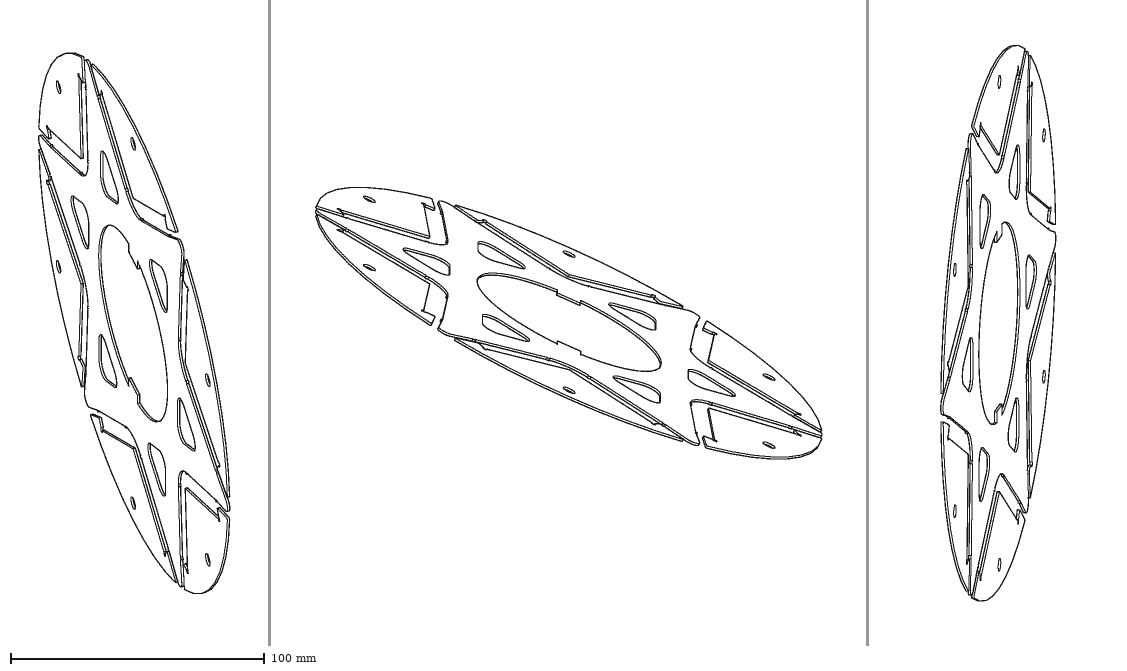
import cadquery as cq
import math

outer_radius = 110.0
thickness = 1.0
point_count = 6
point_pitch = 360.0 / point_count
half_pitch = point_pitch / 2

flank_angle = 26.5
tip_angle = 23.4

valley_corner_radius = 60.0
valley_round = 16.3
shoulder_distance = 96.4
tip_round = 3.5
nib_radius = 0.7

bore_radius = 40.0
key_width = 10.1
key_tip_radius = 35.2

window_side = 11.9
window_round = 5.0
window_radius = 60.3
window_shift = 1.0

wedge_apex_radius = 70.0
wedge_flank_length = 44.0
tab_depth = 5.0
tab_round = 0.7
relief_diameter = 1.8
hole_diameter = 5.0
hole_distance = 100.3


def sine(degrees):
    return math.sin(math.radians(degrees))


def cosine(degrees):
    return math.cos(math.radians(degrees))


def rotated(point, degrees):
    """Turn an (x, z) point about the disc centre, from +X towards +Z."""
    x, z = point
    return (x * cosine(degrees) - z * sine(degrees), x * sine(degrees) + z * cosine(degrees))


def mirrored(point):
    """The matching (x, z) point on the other side of the X axis."""
    return (point[0], -point[1])


def plate(sketch):
    """Thicken a sketch evenly to both sides of the XZ plane."""
    return sketch.extrude(thickness / 2, both=True)


valley_half_angle = half_pitch + flank_angle
valley_reach = valley_round / math.tan(math.radians(valley_half_angle))
valley_corner = rotated((valley_corner_radius, 0), half_pitch)
valley_end = (
    valley_corner[0] + valley_reach * cosine(flank_angle),
    valley_corner[1] - valley_reach * sine(flank_angle),
)
valley_bottom_radius = valley_corner_radius + valley_round / sine(valley_half_angle) - valley_round
shoulder_drop = (shoulder_distance - valley_corner[0]) * math.tan(math.radians(flank_angle))
shoulder = (shoulder_distance, valley_corner[1] - shoulder_drop)
tip_end = (
    outer_radius - tip_round + tip_round * sine(tip_angle),
    tip_round * cosine(tip_angle),
)


def star_blank():
    outline = cq.Workplane("XZ").moveTo(*mirrored(valley_end))
    for i in range(point_count):
        turn = i * point_pitch
        outline = (
            outline
            .lineTo(*rotated(mirrored(shoulder), turn))
            .lineTo(*rotated(mirrored(tip_end), turn))
            .threePointArc(rotated((outer_radius, 0), turn), rotated(tip_end, turn))
            .lineTo(*rotated(shoulder, turn))
            .lineTo(*rotated(valley_end, turn))
            .threePointArc(
                rotated((valley_bottom_radius, 0), turn + half_pitch),
                rotated(mirrored(valley_end), turn + point_pitch),
            )
        )
    return plate(outline.close())


def flank_nibs():
    flank_ends = [shoulder, valley_end, mirrored(shoulder), mirrored(valley_end)]
    centers = [rotated(end, i * point_pitch) for end in flank_ends for i in range(point_count)]
    return plate(cq.Workplane("XZ").pushPoints(centers).circle(nib_radius))


def keyed_bore():
    """The bore, short of the two keys that reach into it from above and below."""
    bore = plate(cq.Workplane("XZ").circle(bore_radius))
    key_length = bore_radius - key_tip_radius
    key_center = key_tip_radius + key_length / 2
    keys = cq.Workplane("XZ").pushPoints([(0, key_center), (0, -key_center)]).rect(key_width, key_length)
    return bore.cut(plate(keys))


def window(turn):
    """One triangular window, its apex pointing out along the star point."""
    corner_distance = window_side / math.sqrt(3)
    corners = []
    for direction in (0, 120, 240):
        x, z = rotated((corner_distance, 0), direction)
        corners.append(rotated((window_radius + x, z - window_shift), turn))
    return plate(cq.Workplane("XZ").polyline(corners).close().offset2D(window_round))


def build_star():
    body = star_blank().union(flank_nibs()).cut(keyed_bore())
    for i in range(point_count):
        body = body.cut(window(i * point_pitch))
    return body


def build_wedge(turn):
    """One wedge, drawn with its centreline along +X and then turned into its gap."""
    flank_direction = half_pitch + flank_angle
    apex = (wedge_apex_radius, 0)
    notch = (
        apex[0] + wedge_flank_length * cosine(flank_direction),
        wedge_flank_length * sine(flank_direction),
    )
    tab_corner = (
        notch[0] - tab_depth * sine(flank_direction),
        notch[1] + tab_depth * cosine(flank_direction),
    )
    tab_direction = half_pitch + tip_angle
    edge_offset = tab_corner[1] * cosine(tab_direction) - tab_corner[0] * sine(tab_direction)
    rim_reach = math.sqrt(outer_radius ** 2 - edge_offset ** 2)
    rim_corner = rotated((rim_reach, edge_offset), tab_direction)

    body = plate(
        cq.Workplane("XZ")
        .moveTo(*apex)
        .lineTo(*notch)
        .lineTo(*tab_corner)
        .lineTo(*rim_corner)
        .threePointArc((outer_radius, 0), mirrored(rim_corner))
        .lineTo(*mirrored(tab_corner))
        .lineTo(*mirrored(notch))
        .close()
    )

    tab_start = (notch[1] + tab_corner[1]) / 2
    for side in (1, -1):
        tab_box = cq.selectors.BoxSelector(
            (0, -thickness, side * tab_start),
            (outer_radius, thickness, side * outer_radius),
        )
        body = body.edges("|Y").edges(tab_box).fillet(tab_round)

    reliefs = cq.Workplane("XZ").pushPoints([notch, mirrored(notch)]).circle(relief_diameter / 2)
    hole = cq.Workplane("XZ").center(hole_distance, 0).circle(hole_diameter / 2)
    body = body.cut(plate(reliefs)).cut(plate(hole))
    return body.rotate((0, 0, 0), (0, 1, 0), -turn)


star = build_star()
wedges = [build_wedge(half_pitch + i * point_pitch) for i in range(point_count)]

result = cq.Compound.makeCompound([star.solids().val(), *[wedge.solids().val() for wedge in wedges]])